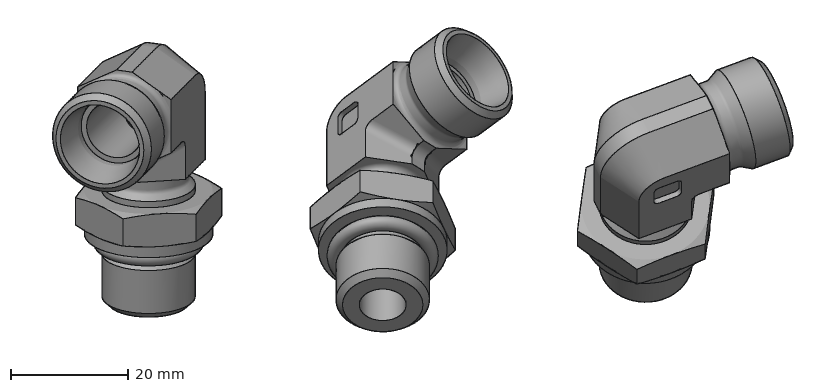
import cadquery as cq
import math

OVERALL_HEIGHT = 47.0
TUBE_END_DIA = 18.0
CROWN = TUBE_END_DIA / 2
AXIS_Z = OVERALL_HEIGHT - CROWN
HEX_FLATS = 17.0
TUBE_LEG_END = 12.0
STUD_LEG_BOTTOM = 25.6
INNER_CORNER_RADIUS = 1.97
RELIEF_RADIUS = 1.0
TOLERANCE = 0.005

TUBE_END_FACE = 24.0
TUBE_TIP_DIA = 16.0
TUBE_END_CHAMFER = (TUBE_END_DIA - TUBE_TIP_DIA) / 2
TUBE_NECK_DIA = 15.7
TUBE_THREAD_START = 16.65
TUBE_SHOULDER_ANGLE = 30.0

STUD_DIA = 16.0
STUD_CHAMFER = 1.15
STUD_NECK_DIA = 13.7
STUD_SHOULDER_ANGLE = 45.0
STUD_THREAD_TOP = 21.7
RING_GROOVE_DIA = 13.85
LOWER_THREAD_TOP = 9.02

STUD_BORE_DIA = 8.0
TUBE_BORE_DIA = 10.0
TUBE_SOCKET_DIA = 12.0
TUBE_SOCKET_DEPTH = 7.0
TUBE_CONE_DIA = 14.4
TUBE_CONE_ANGLE = 12.0
DRILL_POINT_ANGLE = 59.0

PANEL_WIDTH = 5.08
PANEL_CORNER_RADIUS = 1.0
PANEL_DEPTH = 1.0
PANEL_Y = -0.45
PANEL_Z = 37.6

NUT_FLATS = 22.0
NUT_BOTTOM = 12.6
NUT_HEX_BOTTOM = 14.55
NUT_TOP = 20.6
NUT_CORNER_DROP = 0.5

RING_OUTER_RADIUS = 9.5
RING_INNER_RADIUS = RING_GROOVE_DIA / 2
RING_SECTION_RADIUS = (RING_OUTER_RADIUS - RING_INNER_RADIUS) / 2
RING_CENTRE_RADIUS = RING_INNER_RADIUS + RING_SECTION_RADIUS
RING_BOTTOM = 10.05
RING_Z = RING_BOTTOM + RING_SECTION_RADIUS

COUNTERSINK_SUM = RING_CENTRE_RADIUS + RING_Z + RING_SECTION_RADIUS * math.sqrt(2)
COUNTERSINK_RADIUS = COUNTERSINK_SUM - NUT_BOTTOM
COUNTERSINK_TOP = COUNTERSINK_SUM - STUD_DIA / 2


def relief_end(neck_dia, outer_dia, angle):
    """Radius where a neck fillet meets its shoulder cone, and lengths of the fillet and of the cone."""
    slope = math.radians(angle)
    radius = neck_dia / 2 + RELIEF_RADIUS * (1 - math.cos(slope))
    fillet_length = RELIEF_RADIUS * math.sin(slope)
    cone_length = (outer_dia / 2 - radius) / math.tan(slope)
    return radius, fillet_length, cone_length


def revolve_z(profile):
    """Revolve an upright profile about the Z axis."""
    return profile.close().revolve(360, (0, 0), (0, 1))


def revolve_tube(profile):
    """Revolve an XY profile about the Y axis and lift it to the horizontal axis."""
    return profile.close().revolve(360, (0, 0), (0, 1)).translate((0, 0, AXIS_Z))


def hex_leg(plane, length):
    """Leg with a hexagon section, flats on +-X, the corners between them clipped flat."""
    hexagon = (
        cq.Workplane(plane)
        .polygon(6, HEX_FLATS, circumscribed=True)
        .extrude(length)
    )
    clip = cq.Workplane(plane).rect(HEX_FLATS, 2 * CROWN).extrude(length)
    return hexagon.intersect(clip)


def elbow_bend():
    """Rounded outer corner: half of the leg section turned about the X axis."""
    half_width = HEX_FLATS / 2
    side_height = half_width / math.sqrt(3)
    crown_half_width = HEX_FLATS - CROWN * math.sqrt(3)
    return (
        cq.Workplane("XZ")
        .moveTo(-half_width, 0)
        .lineTo(-half_width, side_height)
        .lineTo(-crown_half_width, CROWN)
        .lineTo(crown_half_width, CROWN)
        .lineTo(half_width, side_height)
        .lineTo(half_width, 0)
        .close()
        .revolve(360, (0, 0), (1, 0))
        .translate((0, 0, AXIS_Z))
    )


def elbow_block():
    """Both legs, the bend that joins them and the fillet in the crook."""
    tube_leg = hex_leg("XZ", TUBE_LEG_END).translate((0, 0, AXIS_Z))
    stud_leg = hex_leg("XY", AXIS_Z - STUD_LEG_BOTTOM).translate((0, 0, STUD_LEG_BOTTOM))
    block = tube_leg.union(stud_leg).union(elbow_bend())
    crook_edges = [
        edge for edge in block.edges().vals()
        if all(v.Y < 0 and abs(v.Y - (v.Z - AXIS_Z)) < TOLERANCE for v in edge.Vertices())
    ]
    return block.newObject(crook_edges).fillet(INNER_CORNER_RADIUS)


def tube_end():
    """Threaded tube end with its neck; the flare into the leg is trimmed to the hexagon."""
    neck_radius = TUBE_NECK_DIA / 2
    relief_radius, fillet_length, cone_length = relief_end(TUBE_NECK_DIA, TUBE_END_DIA, TUBE_SHOULDER_ANGLE)
    cone_start = TUBE_THREAD_START - cone_length
    flare_end = TUBE_LEG_END + RELIEF_RADIUS
    spigot = revolve_tube(
        cq.Workplane("XY")
        .moveTo(0, -TUBE_LEG_END)
        .lineTo(neck_radius, -TUBE_LEG_END)
        .lineTo(neck_radius, -(cone_start - fillet_length))
        .tangentArcPoint((relief_radius, -cone_start), relative=False)
        .lineTo(CROWN, -TUBE_THREAD_START)
        .lineTo(CROWN, -(TUBE_END_FACE - TUBE_END_CHAMFER))
        .lineTo(CROWN - TUBE_END_CHAMFER, -TUBE_END_FACE)
        .lineTo(0, -TUBE_END_FACE)
    )
    flare = revolve_tube(
        cq.Workplane("XY")
        .moveTo(0, -TUBE_LEG_END)
        .lineTo(0, -flare_end)
        .lineTo(neck_radius, -flare_end)
        .radiusArc((neck_radius + RELIEF_RADIUS, -TUBE_LEG_END), RELIEF_RADIUS)
    )
    trim = hex_leg("XZ", flare_end).translate((0, 0, AXIS_Z))
    return spigot.union(flare.intersect(trim))


def stud_end():
    """Threaded stud with the ring groove, the neck and the flare into the leg."""
    stud_radius = STUD_DIA / 2
    groove_radius = RING_GROOVE_DIA / 2
    neck_radius = STUD_NECK_DIA / 2
    groove_relief, groove_fillet, groove_cone = relief_end(RING_GROOVE_DIA, STUD_DIA, STUD_SHOULDER_ANGLE)
    neck_relief, neck_fillet, neck_cone = relief_end(STUD_NECK_DIA, STUD_DIA, STUD_SHOULDER_ANGLE)
    groove_cone_top = LOWER_THREAD_TOP + groove_cone
    neck_cone_top = STUD_THREAD_TOP + neck_cone
    lower = revolve_z(
        cq.Workplane("XZ")
        .moveTo(0, COUNTERSINK_TOP)
        .lineTo(groove_radius, COUNTERSINK_TOP)
        .lineTo(groove_radius, groove_cone_top + groove_fillet)
        .tangentArcPoint((groove_relief, groove_cone_top), relative=False)
        .lineTo(stud_radius, LOWER_THREAD_TOP)
        .lineTo(stud_radius, STUD_CHAMFER)
        .lineTo(stud_radius - STUD_CHAMFER, 0)
        .lineTo(0, 0)
    )
    upper = revolve_z(
        cq.Workplane("XZ")
        .moveTo(0, STUD_LEG_BOTTOM)
        .lineTo(neck_radius + RELIEF_RADIUS, STUD_LEG_BOTTOM)
        .radiusArc((neck_radius, STUD_LEG_BOTTOM - RELIEF_RADIUS), -RELIEF_RADIUS)
        .lineTo(neck_radius, neck_cone_top + neck_fillet)
        .tangentArcPoint((neck_relief, neck_cone_top), relative=False)
        .lineTo(stud_radius, STUD_THREAD_TOP)
        .lineTo(stud_radius, COUNTERSINK_TOP)
        .lineTo(0, COUNTERSINK_TOP)
    )
    return lower.union(upper)


def stud_bore():
    """Blind bore up the stud; its drill point starts on the horizontal axis."""
    radius = STUD_BORE_DIA / 2
    point_height = radius / math.tan(math.radians(DRILL_POINT_ANGLE))
    return revolve_z(
        cq.Workplane("YZ")
        .lineTo(radius, 0)
        .lineTo(radius, AXIS_Z)
        .lineTo(0, AXIS_Z + point_height)
    )


def tube_bore():
    """Sealing cone, tube socket and bore; its drill point starts on the vertical axis."""
    cone_length = (TUBE_CONE_DIA - TUBE_SOCKET_DIA) / 2 / math.tan(math.radians(TUBE_CONE_ANGLE))
    socket_bottom = TUBE_END_FACE - TUBE_SOCKET_DEPTH
    point_length = TUBE_BORE_DIA / 2 / math.tan(math.radians(DRILL_POINT_ANGLE))
    return revolve_tube(
        cq.Workplane("XY")
        .moveTo(0, -TUBE_END_FACE)
        .lineTo(TUBE_CONE_DIA / 2, -TUBE_END_FACE)
        .lineTo(TUBE_SOCKET_DIA / 2, cone_length - TUBE_END_FACE)
        .lineTo(TUBE_SOCKET_DIA / 2, -socket_bottom)
        .lineTo(TUBE_BORE_DIA / 2, -socket_bottom)
        .lineTo(TUBE_BORE_DIA / 2, 0)
        .lineTo(0, point_length)
    )


def panel_recess():
    """Shallow rounded square in the -X flat."""
    return (
        cq.Workplane("YZ")
        .rect(PANEL_WIDTH, PANEL_WIDTH)
        .extrude(PANEL_DEPTH)
        .edges("|X")
        .fillet(PANEL_CORNER_RADIUS)
        .translate((-HEX_FLATS / 2, PANEL_Y, PANEL_Z))
    )


def make_elbow():
    solid = elbow_block().union(tube_end()).union(stud_end())
    return solid.cut(stud_bore()).cut(tube_bore()).cut(panel_recess())


def make_nut():
    """Hexagon nut with a round collar below, chamfered corners and a countersunk bore."""
    flat_radius = NUT_FLATS / 2
    corner_radius = NUT_FLATS / math.sqrt(3)
    hexagon = (
        cq.Workplane("XY")
        .workplane(offset=NUT_HEX_BOTTOM)
        .polygon(6, NUT_FLATS, circumscribed=True)
        .extrude(NUT_TOP - NUT_HEX_BOTTOM)
    )
    envelope = revolve_z(
        cq.Workplane("XZ")
        .moveTo(0, NUT_HEX_BOTTOM)
        .lineTo(flat_radius, NUT_HEX_BOTTOM)
        .lineTo(corner_radius, NUT_HEX_BOTTOM + NUT_CORNER_DROP)
        .lineTo(corner_radius, NUT_TOP - NUT_CORNER_DROP)
        .lineTo(flat_radius, NUT_TOP)
        .lineTo(0, NUT_TOP)
    )
    collar = (
        cq.Workplane("XY")
        .workplane(offset=NUT_BOTTOM)
        .circle(flat_radius)
        .extrude(NUT_HEX_BOTTOM - NUT_BOTTOM)
    )
    bore = revolve_z(
        cq.Workplane("XZ")
        .moveTo(0, NUT_BOTTOM)
        .lineTo(COUNTERSINK_RADIUS, NUT_BOTTOM)
        .lineTo(STUD_DIA / 2, COUNTERSINK_TOP)
        .lineTo(STUD_DIA / 2, NUT_TOP)
        .lineTo(0, NUT_TOP)
    )
    return hexagon.intersect(envelope).union(collar).cut(bore)


def make_sealing_ring():
    """Round-section ring seated in the stud's groove, under the nut."""
    return (
        cq.Workplane("XZ")
        .center(RING_CENTRE_RADIUS, RING_Z)
        .circle(RING_SECTION_RADIUS)
        .revolve(360, (-RING_CENTRE_RADIUS, 0), (-RING_CENTRE_RADIUS, 1))
    )


elbow = make_elbow()
nut = make_nut()
sealing_ring = make_sealing_ring()

result = cq.Compound.makeCompound([elbow.val(), nut.val(), sealing_ring.val()])